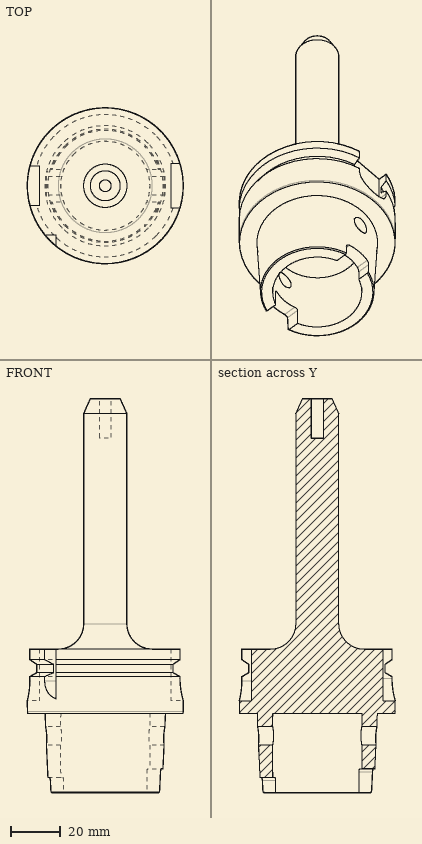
import cadquery as cq
import math

total_height = 159
flange_bottom = 32.0
flange_top = 58.0

flange_radius = 31.5
flange_edge_height = 0.8
flange_edge_inset = 0.2
groove_radius = 28.8
groove_lower_edge = 46.9
groove_floor_bottom = 48.5
groove_floor_top = 51.8
groove_upper_edge = 53.7

shank_top_radius = 24.3
shank_end_radius = 22.9
shank_edge_chamfer = 0.5
cavity_radius = 18.0
cavity_depth = flange_bottom

stem_radius = 8.7
stem_fillet = 10.2
tip_radius = 6.0
tip_height = 6.0
coolant_radius = 2.4
coolant_depth = 15.9

slot_floor_x = 26.5
slot_bottom = 37.2
narrow_slot_width = 15.9
wide_slot_width = 17.8
corner_notch_offset = 19.9

cross_hole_radius = 3.7
cross_hole_height = 23.0
drive_slot_width = 13.0
drive_slot_fillet = 1.3
shallow_drive_slot = 6.2
deep_drive_slot = 9.7


def body():
    """Revolved outline of shank, flange and stem."""
    fillet_center_r = stem_radius + stem_fillet
    fillet_center_z = flange_top + stem_fillet
    fillet_offset = stem_fillet * math.sqrt(0.5)
    fillet_middle = (fillet_center_r - fillet_offset, fillet_center_z - fillet_offset)
    return (
        cq.Workplane("XZ")
        .lineTo(shank_end_radius - shank_edge_chamfer, 0)
        .lineTo(shank_end_radius, shank_edge_chamfer)
        .lineTo(shank_top_radius, flange_bottom)
        .lineTo(flange_radius - flange_edge_inset, flange_bottom)
        .lineTo(flange_radius, flange_bottom + flange_edge_height)
        .lineTo(flange_radius, groove_lower_edge)
        .lineTo(groove_radius, groove_floor_bottom)
        .lineTo(groove_radius, groove_floor_top)
        .lineTo(flange_radius, groove_upper_edge)
        .lineTo(flange_radius, flange_top)
        .lineTo(fillet_center_r, flange_top)
        .threePointArc(fillet_middle, (stem_radius, fillet_center_z))
        .lineTo(stem_radius, total_height - tip_height)
        .lineTo(tip_radius, total_height)
        .lineTo(0, total_height)
        .close()
        .revolve(360, (0, 0), (0, 1))
    )


def flange_slot(side, floor_x, center_y, width):
    """Round-bottomed slot, open at the flange top, cut inward to floor_x on the side (+1 or -1) of X."""
    radius = width / 2
    arc_center_z = slot_bottom + radius
    return (
        cq.Workplane("YZ", origin=(side * floor_x, 0, 0))
        .moveTo(center_y - radius, flange_top)
        .lineTo(center_y - radius, arc_center_z)
        .threePointArc((center_y, slot_bottom), (center_y + radius, arc_center_z))
        .lineTo(center_y + radius, flange_top)
        .close()
        .extrude(side * flange_radius)
    )


def drive_slot(side, depth):
    """Slot through one shank wall, with rounded upper corners."""
    return (
        cq.Workplane("XY")
        .center(side * flange_radius / 2, 0)
        .rect(flange_radius, drive_slot_width)
        .extrude(depth)
        .edges("|X and >Z")
        .fillet(drive_slot_fillet)
    )


cavity = cq.Workplane("XY").circle(cavity_radius).extrude(cavity_depth)
coolant_bore = (
    cq.Workplane("XY", origin=(0, 0, total_height - coolant_depth))
    .circle(coolant_radius)
    .extrude(coolant_depth)
)
cross_hole = (
    cq.Workplane("YZ")
    .center(0, cross_hole_height)
    .circle(cross_hole_radius)
    .extrude(flange_radius, both=True)
)
corner_notch_y = -(corner_notch_offset + narrow_slot_width / 2)

cuts = [
    cavity,
    coolant_bore,
    cross_hole,
    drive_slot(-1, shallow_drive_slot),
    drive_slot(1, deep_drive_slot),
    flange_slot(-1, slot_floor_x, 0, narrow_slot_width),
    flange_slot(1, slot_floor_x, 0, wide_slot_width),
    flange_slot(-1, corner_notch_offset, corner_notch_y, narrow_slot_width),
]

result = body()
for cut in cuts:
    result = result.cut(cut)